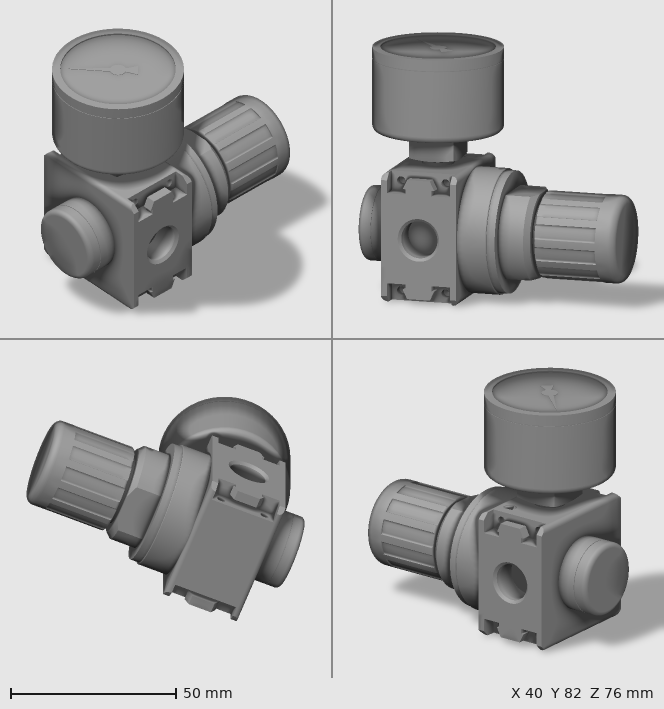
import cadquery as cq
import math


overall_length = 82.0
groove_depth = 0.2

block_side = 40.0
block_depth = 23.95
block_chamfer = 2.05
block_round = 1.55
half_side = block_side / 2
half_depth = block_depth / 2

recess_depth = 5.0
recess_half_width = 10.0
recess_floor_z = 13.9
tenon_thickness = 3.0
tenon_neck_half_width = 4.2
tenon_lip_z = 15.6
tenon_lip_half_width = 5.0
tenon_top_half_width = 3.6
tenon_top_z = 18.45

screw_hole_diameter = 2.6
screw_hole_depth = 2.5
screw_tip_angle = 118
screw_tip_diameter = 0.5
screw_y = 7.05
screw_z = 17.05

port_diameter = 11.5
port_mouth_diameter = 13.2
port_chamfer = (port_mouth_diameter - port_diameter) / 2
port_depth = 8.2

mark_diameter = 4.1
mark_pocket_depth = 0.2
mark_triangle_depth = 0.8
mark_x = -10.7
mark_y = 7.05

cap_diameter = 23.0
cap_end_y = -22.05
cap_round = 1.5
cap_groove_y = -17.8
cap_groove_width = 0.25

shoulder_diameter = 38.5
shoulder_end_y = 21.15
shoulder_chamfer = 0.2
flange_diameter = 37.5
flange_end_y = 23.8
collar_diameter = 30.1
collar_end_y = 33.3
collar_chamfer = 1.6
collar_flat_distance = 26.0
neck_diameter = 21.0

knob_diameter = 27.0
knob_start_y = 34.5
knob_end_y = cap_end_y + overall_length
knob_round = 2.3
knob_edge_round = 0.7
flute_count = 12
flute_end_y = 53.9
flute_floor_radius = 13.0
flute_floor_half_angle = 7.3
flute_mouth_half_angle = 10.0

gauge_diameter = 40.0
gauge_top_z = 56.0
gauge_bottom_z = 30.0
gauge_round = 2.0
bezel_groove_z = 52.5
bezel_groove_width = 0.25
dial_diameter = 35.0
dial_depth = 0.5

square_side = 14.2
square_bottom_z = 21.5
square_chamfer_radius = 6.65
square_chamfer_height = 0.8
stem_diameter = 9.75

pointer_height = 0.2
pointer_angle = 225
pointer_hub_diameter = 5.0
pointer_tip_length = 15.0
pointer_root_width = 1.6
pointer_tail_length = 6.1
pointer_tail_width = 4.3


def cylinder_on_y(radius, start_y, end_y):
    """Cylinder on the Y axis between two Y positions."""
    return cq.Workplane("XZ", origin=(0, start_y, 0)).circle(radius).extrude(start_y - end_y)


def ring_on_y(outer_radius, inner_radius, start_y, end_y):
    """Ring on the Y axis, used to cut grooves."""
    return cylinder_on_y(outer_radius, start_y, end_y).cut(cylinder_on_y(inner_radius, start_y, end_y))


def make_recess_cutter():
    """Recess at the top of the -X side face, with a screw hole at either end of its wall."""
    recess = (
        cq.Workplane("YZ", origin=(-half_side, 0, 0))
        .moveTo(-recess_half_width, recess_floor_z)
        .lineTo(recess_half_width, recess_floor_z)
        .lineTo(recess_half_width, half_side)
        .lineTo(-recess_half_width, half_side)
        .close()
        .extrude(recess_depth)
    )
    hole_radius = screw_hole_diameter / 2
    tip_radius = screw_tip_diameter / 2
    cone_length = (hole_radius - tip_radius) / math.tan(math.radians(screw_tip_angle / 2))
    hole_outline = [
        (0, 0),
        (screw_hole_depth + cone_length, 0),
        (screw_hole_depth + cone_length, tip_radius),
        (screw_hole_depth, hole_radius),
        (0, hole_radius),
    ]
    hole = cq.Workplane("XY").polyline(hole_outline).close().revolve(360, (0, 0, 0), (1, 0, 0))
    for y in (-screw_y, screw_y):
        recess = recess.union(hole.translate((recess_depth - half_side, y, screw_z)))
    return recess


def make_tenon():
    """Dovetail tenon standing on the floor of the upper recess in the -X side face."""
    half_outline = [
        (tenon_neck_half_width, recess_floor_z),
        (tenon_neck_half_width, tenon_lip_z),
        (tenon_lip_half_width, tenon_lip_z),
        (tenon_top_half_width, tenon_top_z),
    ]
    outline = half_outline + [(-y, z) for y, z in reversed(half_outline)]
    return cq.Workplane("YZ", origin=(-half_side, 0, 0)).polyline(outline).close().extrude(tenon_thickness)


def make_port_cutter():
    """Blind port with a chamfered mouth in the -X side face."""
    port_outline = [
        (0, 0),
        (0, port_mouth_diameter / 2),
        (port_chamfer, port_diameter / 2),
        (port_depth, port_diameter / 2),
        (port_depth, 0),
    ]
    port = cq.Workplane("XY").polyline(port_outline).close().revolve(360, (0, 0, 0), (1, 0, 0))
    return port.translate((-half_side, 0, 0))


def make_flow_mark_cutter():
    """Round pocket and the triangle inscribed in it, pointing along +X."""
    plane = cq.Workplane("XY", origin=(mark_x, mark_y, half_side))
    pocket = plane.circle(mark_diameter / 2).extrude(-mark_pocket_depth)
    triangle = plane.polygon(3, mark_diameter).extrude(-mark_triangle_depth)
    return pocket.union(triangle)


def make_block():
    block = cq.Workplane("XY").box(block_side, block_depth, block_side)
    block = block.edges("|Y").chamfer(block_chamfer)
    block = block.faces("<Z or >Z").edges("|X").fillet(block_round)
    recess = make_recess_cutter()
    tenon = make_tenon()
    cutter = recess.union(recess.mirror("XY")).union(make_port_cutter())
    tenons = tenon.union(tenon.mirror("XY"))
    block = block.cut(cutter).cut(cutter.mirror("YZ"))
    block = block.union(tenons).union(tenons.mirror("YZ"))
    return block.cut(make_flow_mark_cutter())


def make_cap():
    cap = cylinder_on_y(cap_diameter / 2, cap_end_y, -half_depth)
    cap = cap.faces("<Y").edges().fillet(cap_round)
    groove = ring_on_y(
        cap_diameter / 2,
        cap_diameter / 2 - groove_depth,
        cap_groove_y - cap_groove_width / 2,
        cap_groove_y + cap_groove_width / 2,
    )
    return cap.cut(groove)


def make_bonnet():
    shoulder = cylinder_on_y(shoulder_diameter / 2, half_depth, shoulder_end_y)
    shoulder = shoulder.faces(">Y").edges().chamfer(shoulder_chamfer)
    flange = cylinder_on_y(flange_diameter / 2, shoulder_end_y, flange_end_y)
    collar = cylinder_on_y(collar_diameter / 2, flange_end_y, collar_end_y)
    collar = collar.faces(">Y").edges().chamfer(collar_chamfer)
    collar_middle_y = (flange_end_y + collar_end_y) / 2
    flats = cq.Workplane("XY").box(collar_diameter, collar_end_y - flange_end_y, collar_flat_distance)
    collar = collar.intersect(flats.translate((0, collar_middle_y, 0)))
    neck = cylinder_on_y(neck_diameter / 2, collar_end_y, knob_start_y)
    return shoulder.union(flange).union(collar).union(neck)


def make_flute_cutter():
    """Shallow flute with hollow flanks along the top of the knob, open towards the block."""
    floor_angle = math.radians(flute_floor_half_angle)
    mouth_angle = math.radians(flute_mouth_half_angle)
    knob_radius = knob_diameter / 2
    floor_corner = (flute_floor_radius * math.sin(floor_angle), flute_floor_radius * math.cos(floor_angle))
    floor_middle = (
        flute_floor_radius * math.sin(floor_angle / 2),
        flute_floor_radius * math.cos(floor_angle / 2),
    )
    mouth_corner = (knob_radius * math.sin(mouth_angle), knob_radius * math.cos(mouth_angle))
    half_flute = (
        cq.Workplane("XZ", origin=(0, knob_start_y, 0))
        .moveTo(0, flute_floor_radius)
        .threePointArc(floor_middle, floor_corner)
        .tangentArcPoint(mouth_corner, relative=False)
        .lineTo(mouth_corner[0], knob_diameter)
        .lineTo(0, knob_diameter)
        .close()
        .extrude(knob_start_y - flute_end_y)
    )
    return half_flute.union(half_flute.mirror("YZ"))


def make_knob():
    knob = cylinder_on_y(knob_diameter / 2, knob_start_y, knob_end_y)
    knob = knob.faces(">Y").edges().fillet(knob_round)
    knob = knob.faces("<Y").edges().fillet(knob_edge_round)
    flute = make_flute_cutter()
    pitch = 360 / flute_count
    for index in range(flute_count):
        knob = knob.cut(flute.rotate((0, 0, 0), (0, 1, 0), (index + 0.5) * pitch))
    return knob


def make_regulator():
    return make_block().union(make_cap()).union(make_bonnet()).union(make_knob())


def make_pointer():
    """Hub, tapered needle and flared tail, laid out along +X and turned to the reading."""
    hub = cq.Workplane("XY").circle(pointer_hub_diameter / 2).extrude(pointer_height)
    root_half_width = pointer_root_width / 2
    tail_half_width = pointer_tail_width / 2
    root_x = math.sqrt((pointer_hub_diameter / 2) ** 2 - root_half_width ** 2)
    needle_outline = [
        (pointer_tip_length, 0),
        (root_x, root_half_width),
        (-root_x, root_half_width),
        (-pointer_tail_length, tail_half_width),
        (-pointer_tail_length, -tail_half_width),
        (-root_x, -root_half_width),
        (root_x, -root_half_width),
    ]
    needle = cq.Workplane("XY").polyline(needle_outline).close().extrude(pointer_height)
    pointer = hub.union(needle).rotate((0, 0, 0), (0, 0, 1), pointer_angle)
    return pointer.translate((0, 0, gauge_top_z - dial_depth))


def make_gauge_case():
    radius = gauge_diameter / 2
    case = cq.Workplane("XY", origin=(0, 0, gauge_bottom_z)).circle(radius)
    case = case.extrude(gauge_top_z - gauge_bottom_z)
    case = case.faces("<Z").edges().fillet(gauge_round)
    dial = cq.Workplane("XY", origin=(0, 0, gauge_top_z)).circle(dial_diameter / 2).extrude(-dial_depth)
    groove = (
        cq.Workplane("XY", origin=(0, 0, bezel_groove_z - bezel_groove_width / 2))
        .circle(radius)
        .circle(radius - groove_depth)
        .extrude(bezel_groove_width)
    )
    return case.cut(dial).cut(groove)


def make_wrench_square():
    """Square section whose lower corners are trimmed by a cone."""
    corner_radius = square_side / math.sqrt(2)
    square = cq.Workplane("XY", origin=(0, 0, square_bottom_z)).rect(square_side, square_side)
    square = square.extrude(gauge_bottom_z - square_bottom_z)
    cone_outline = [
        (0, square_bottom_z),
        (square_chamfer_radius, square_bottom_z),
        (corner_radius, square_bottom_z + square_chamfer_height),
        (corner_radius, gauge_bottom_z),
        (0, gauge_bottom_z),
    ]
    cone = cq.Workplane("XZ").polyline(cone_outline).close().revolve(360, (0, 0, 0), (0, 1, 0))
    return square.intersect(cone)


def make_gauge():
    stem = cq.Workplane("XY", origin=(0, 0, half_side)).circle(stem_diameter / 2)
    stem = stem.extrude(square_bottom_z - half_side)
    return make_gauge_case().union(make_pointer()).union(make_wrench_square()).union(stem)


regulator = make_regulator()
gauge = make_gauge()

result = cq.Compound.makeCompound([regulator.val(), gauge.val()])